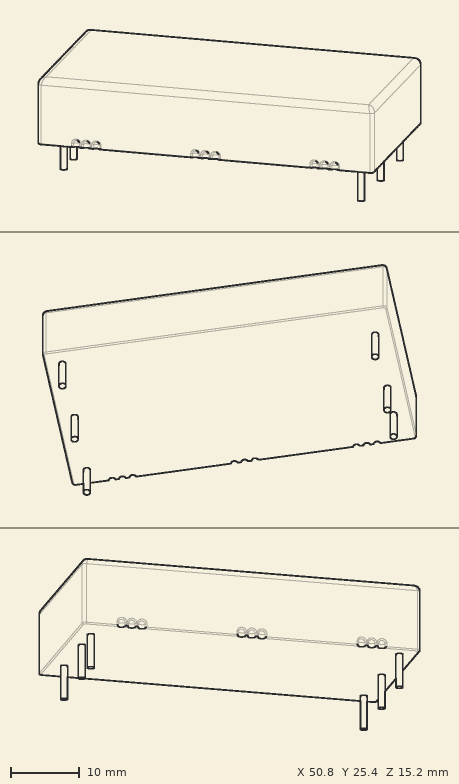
import cadquery as cq
length = 50.8
width = 25.4
case_height = 10.15
corner_radius = 0.5
top_radius = 1.0
bottom_radius = 0.2
front_y = -width / 2

pitch = 2.55
pin_diameter = 1.0
pin_length = 5.05
pin_x = length / 2 - pitch
left_pin_y = (3 * pitch, -pitch, -3 * pitch)
right_pin_y = (4 * pitch, 0, -4 * pitch)

notch_radius = 0.5
notch_pitch = 1.5
notch_straight = 0.65
mouth_radius = 0.25
group_spacing = 18.05
group_size = 3
group_count = 3


def centred_row(count, spacing):
    """Positions of evenly spaced items, centred on zero."""
    return [(i - (count - 1) / 2) * spacing for i in range(count)]


def make_block():
    """Case blank standing on Z = 0 with rounded upright edges."""
    block = cq.Workplane("XY").box(length, width, case_height, centered=(True, True, False))
    return block.edges("|Z").fillet(corner_radius)


def make_notch(x):
    """Upright round cutter with a domed top, its axis on the -Y face."""
    shaft = cq.Workplane("XY").circle(notch_radius).extrude(notch_straight)
    dome = cq.Workplane("XY").sphere(notch_radius).translate((0, 0, notch_straight))
    return shaft.union(dome).translate((x, front_y, 0))


def cut_notches(case):
    """Cut every notch and round over its mouth on the -Y face."""
    for group_x in centred_row(group_count, group_spacing):
        for offset in centred_row(group_size, notch_pitch):
            case = case.cut(make_notch(group_x + offset))
    reach = group_spacing + notch_pitch + 2 * notch_radius
    margin = 0.05
    mouth_edges = cq.selectors.BoxSelector(
        (-reach, front_y - margin, margin),
        (reach, front_y + margin, case_height / 2),
    )
    return case.edges(mouth_edges).fillet(mouth_radius)


def make_pins():
    """Round pins hanging from the underside of the case."""
    points = [(-pin_x, y) for y in left_pin_y] + [(pin_x, y) for y in right_pin_y]
    return cq.Workplane("XY").pushPoints(points).circle(pin_diameter / 2).extrude(-pin_length)


rounded_rim = make_block().faces("<Z").edges().fillet(bottom_radius)
case = make_block().faces(">Z").edges().fillet(top_radius)
case = cut_notches(case).intersect(rounded_rim)
result = case.union(make_pins())